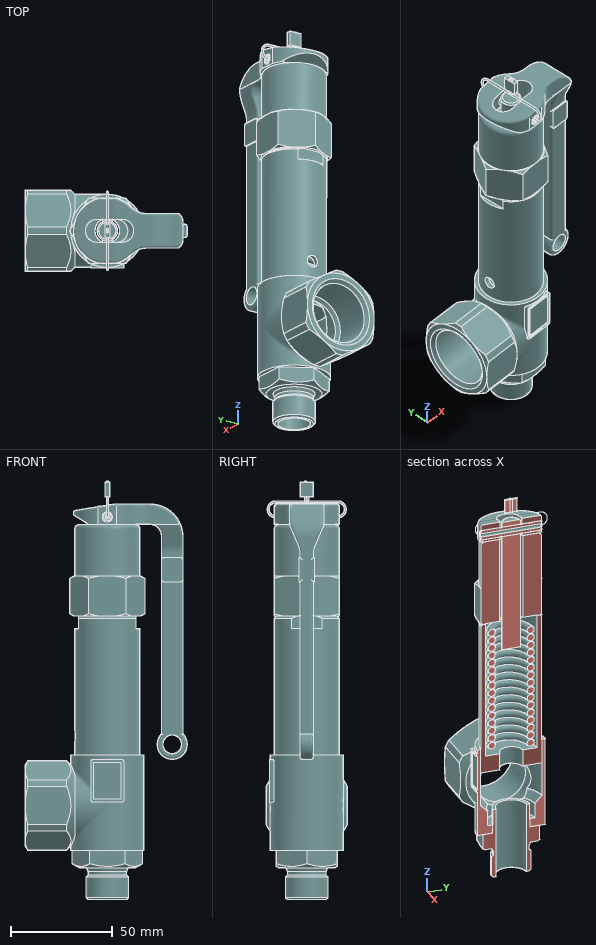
import cadquery as cq
import math


bonnet_dia = 32.0
total_height = 205.7
nozzle_dia = 19.3
stem_dia = 10.0
stem_hole_dia = 12.0
pin_dia = 5.0
wire_dia = 1.0

select_margin = 0.2

body_dia = 36.0
body_bottom = 24.0
body_top = 71.2
chamber_cone_top = 40.3
chamber_cone_bottom = 36.6
chamber_floor = 28.8
chamber_floor_dia = 24.7

outlet_z = 46.3
outlet_end_x = -40.3
outlet_flats = 40.0
outlet_turned_dia = 44.0
outlet_front_chamfer = 1.2
outlet_back_x = -20.0
outlet_thread_dia = 30.5
outlet_mouth_dia = 34.1
outlet_mouth_depth = 1.9
outlet_thread_end_x = -17.9
outlet_bore_dia = 27.0
neck_seam_round = 1.6

plate_width = 16.2
plate_bottom = 48.0
plate_top = 69.0
plate_face_y = -18.3
plate_corner = 1.2
plate_rim = 1.5
plate_recess = 0.5

thread_dia = 21.0
thread_top = 11.1
thread_chamfer = 1.0
relief_dia = 19.0
relief_top = 15.6
relief_taper_height = 1.9
relief_taper_run = 0.8
inlet_flats = 30.0
inlet_hex_chamfer = 2.0
nozzle_top = 37.0
inlet_bore_dia = 16.0

bonnet_bottom = 58.0
bonnet_top = 139.2
bonnet_bore_dia = 27.0
bonnet_floor = 67.0
bonnet_chamfer = 1.0
bonnet_flat_x = 14.2
bonnet_flat_height = 6.2
vent_dia = 6.0
vent_z = 80.5

spring_wire_dia = 4.0
spring_mean_dia = 20.5
spring_pitch = 4.1
spring_turns = 16

cap_hex_top = 159.0
cap_top = 184.3
cap_hex_chamfer = 1.2
cap_round = 2.3

lever_top = 194.4
lever_head_radius = 16.7
lever_head_flat_y = 16.0
lever_slope_start_x = 3.5
lever_tip_top = 191.0
lever_tip_bottom = 189.0
lever_underside_x = -9.3
lever_width = 17.0
neck_round = 10.7
bend_start_x = 21.0
arm_inner_x = 26.5
arm_outer_x = 37.2
arm_thickness = 6.5
edge_round = 1.2
taper_top = cap_top
taper_bottom = 173.8
taper_end = 170.0
ring_radius = 7.5
ring_hole_dia = 9.0
ring_z = 76.3
ring_edge = 1.2
badge_bottom = 156.1
badge_top = 168.0
badge_thickness = 7.8
slot_width = 11.3
slot_left_x = -10.7
slot_right_top_x = 13.0
slot_right_bottom_x = 10.0

stem_bottom = 123.5
stem_top = 193.3
stem_chamfer = 0.8
pin_z = 188.0
pin_hole_dia = 1.9
pin_chamfer = 0.6
wire_run_z = 195.4
wire_reach_y = 19.0
wire_leg_y = 0.6
seal_thickness = 2.5
seal_width = 6.5
seal_bottom = 197.9
seal_top = 205.0


def cylinder(diameter, bottom, top):
    """Cylinder on the valve axis between two heights."""
    return cq.Workplane("XY").workplane(offset=bottom).circle(diameter / 2).extrude(top - bottom)


def cross_cylinder(diameter, length, x, z):
    """Cylinder along Y, centred on Y = 0."""
    return cq.Workplane("XZ", origin=(x, 0, z)).circle(diameter / 2).extrude(length / 2, both=True)


def box_between(x_range, y_range, z_range):
    """Box from its limits along each axis."""
    sizes = [high - low for low, high in (x_range, y_range, z_range)]
    return cq.Workplane("XY").box(*sizes, centered=False).translate(
        (x_range[0], y_range[0], z_range[0]))


def turned(profile):
    """Solid of revolution about Z from (radius, height) points."""
    return cq.Workplane("XZ").polyline(profile).close().revolve(360, (0, 0, 0), (0, 1, 0))


def upright_hex(flats, bottom, top):
    """Hexagonal prism along Z with two flats facing -Y and +Y."""
    corners = flats / math.cos(math.pi / 6)
    return cq.Workplane("XY").workplane(offset=bottom).polygon(6, corners).extrude(top - bottom)


def along_outlet(shape):
    """Turn a shape built along Z so that its +Z points to -X on the outlet axis."""
    return shape.rotate((0, 0, 0), (0, 1, 0), -90).translate((0, 0, outlet_z))


def make_outlet_outside():
    """Hexagon with turned corners, and the round neck that joins it to the body."""
    neck_radius = body_dia / 2
    turned_radius = outlet_turned_dia / 2
    flats_radius = outlet_flats / 2
    end = -outlet_end_x
    back = -outlet_back_x
    neck_end = back - (turned_radius - neck_radius)
    envelope = turned([
        (0, neck_end),
        (neck_radius, neck_end),
        (turned_radius, back),
        (turned_radius, end - outlet_front_chamfer),
        (flats_radius, end),
        (0, end),
    ])
    hexagon = upright_hex(outlet_flats, neck_end, end).intersect(envelope)
    neck = cylinder(body_dia, 0, neck_end)
    return along_outlet(hexagon.union(neck))


def make_outlet_bore():
    """Threaded mouth with a countersink, then a smaller bore into the chamber."""
    end = -outlet_end_x
    thread_end = -outlet_thread_end_x
    step = (outlet_thread_dia - outlet_bore_dia) / 2
    return along_outlet(turned([
        (0, 0),
        (outlet_bore_dia / 2, 0),
        (outlet_bore_dia / 2, thread_end - step),
        (outlet_thread_dia / 2, thread_end),
        (outlet_thread_dia / 2, end - outlet_mouth_depth),
        (outlet_mouth_dia / 2, end),
        (0, end),
    ]))


def make_chamber():
    """Bore for the bonnet, the chamber below it and the hole for the nozzle."""
    return turned([
        (0, body_bottom),
        (nozzle_dia / 2, body_bottom),
        (nozzle_dia / 2, chamber_floor),
        (chamber_floor_dia / 2, chamber_floor),
        (chamber_floor_dia / 2, chamber_cone_bottom),
        (bonnet_dia / 2, chamber_cone_top),
        (bonnet_dia / 2, body_top),
        (0, body_top),
    ])


def make_name_plate():
    """Raised plate with a sunk panel on the -Y side of the body."""
    half_width = plate_width / 2
    plate = box_between((-half_width, half_width), (plate_face_y, 0), (plate_bottom, plate_top))
    plate = plate.edges("|Y").fillet(plate_corner)
    panel = box_between(
        (-half_width + plate_rim, half_width - plate_rim),
        (plate_face_y, plate_face_y + plate_recess),
        (plate_bottom + plate_rim, plate_top - plate_rim),
    )
    return plate, panel


def make_body():
    plate, panel = make_name_plate()
    neck_radius = body_dia / 2
    neck_seams = cq.selectors.BoxSelector(
        (-neck_radius, -body_dia, outlet_z - neck_radius),
        (-select_margin, body_dia, outlet_z + neck_radius),
    )
    body = cylinder(body_dia, body_bottom, body_top)
    body = body.union(make_outlet_outside())
    body = body.edges(neck_seams).edges("%ELLIPSE").fillet(neck_seam_round)
    body = body.union(plate).cut(panel)
    return body.cut(make_chamber()).cut(make_outlet_bore())


def make_inlet():
    """Threaded inlet with a hexagon and a nozzle that stands in the chamber."""
    thread_radius = thread_dia / 2
    relief_radius = relief_dia / 2
    outside = turned([
        (0, 0),
        (thread_radius - thread_chamfer, 0),
        (thread_radius, thread_chamfer),
        (thread_radius, thread_top),
        (relief_radius, thread_top + thread_radius - relief_radius),
        (relief_radius, relief_top - relief_taper_height),
        (relief_radius + relief_taper_run, relief_top),
        (nozzle_dia / 2, relief_top),
        (nozzle_dia / 2, nozzle_top),
        (0, nozzle_top),
    ])
    corner_radius = inlet_flats / 2 / math.cos(math.pi / 6)
    chamfer_run = inlet_hex_chamfer * math.sqrt(3)
    envelope = turned([
        (0, relief_top),
        (corner_radius - chamfer_run, relief_top),
        (corner_radius, relief_top + inlet_hex_chamfer),
        (corner_radius, body_bottom),
        (0, body_bottom),
    ])
    hexagon = upright_hex(inlet_flats, relief_top, body_bottom).intersect(envelope)
    return outside.union(hexagon).cut(cylinder(inlet_bore_dia, 0, nozzle_top))


def make_bonnet():
    """Spring housing with a pair of wrench flats and a vent hole on the -X side."""
    bonnet = cylinder(bonnet_dia, bonnet_bottom, bonnet_top).faces(">Z").edges().chamfer(bonnet_chamfer)
    bonnet = bonnet.cut(cylinder(bonnet_bore_dia, bonnet_floor, bonnet_top))
    bonnet = bonnet.cut(cylinder(stem_hole_dia, bonnet_bottom, bonnet_floor))
    radius = bonnet_dia / 2
    for side in (-1, 1):
        limits = sorted((side * bonnet_flat_x, side * bonnet_dia))
        flat = box_between(limits, (-radius, radius), (bonnet_top - bonnet_flat_height, bonnet_top))
        bonnet = bonnet.cut(flat)
    vent = cq.Workplane("YZ", origin=(0, 0, vent_z)).circle(vent_dia / 2).extrude(-bonnet_dia)
    return bonnet.cut(vent)


def make_spring():
    """Right-hand helical spring standing on the bonnet floor."""
    mean_radius = spring_mean_dia / 2
    start_z = bonnet_floor + spring_wire_dia / 2
    helix = cq.Wire.makeHelix(spring_pitch, spring_pitch * spring_turns, mean_radius)
    section = cq.Workplane("XZ", origin=(mean_radius, 0, 0)).circle(spring_wire_dia / 2)
    return section.sweep(cq.Workplane(helix), isFrenet=True).translate((0, 0, start_z))


def make_cap():
    """Round cap with a hexagon at its foot and a hole for the stem."""
    corner_radius = bonnet_dia / 2 / math.cos(math.pi / 6)
    chamfer_run = cap_hex_chamfer * math.sqrt(3)
    envelope = turned([
        (0, bonnet_top),
        (corner_radius - chamfer_run, bonnet_top),
        (corner_radius, bonnet_top + cap_hex_chamfer),
        (corner_radius, cap_hex_top - cap_hex_chamfer),
        (corner_radius - chamfer_run, cap_hex_top),
        (0, cap_hex_top),
    ])
    hexagon = upright_hex(bonnet_dia, bonnet_top, cap_hex_top).intersect(envelope)
    dome = cylinder(bonnet_dia, cap_hex_top, cap_top).faces(">Z").edges().fillet(cap_round)
    return hexagon.union(dome).cut(cylinder(stem_hole_dia, bonnet_top, cap_top))


def make_lever_side():
    """Side outline of head, bend and arm top, extruded through the full width."""
    outer_radius = arm_outer_x - bend_start_x
    inner_radius = arm_inner_x - bend_start_x
    outer_z = lever_top - outer_radius
    inner_z = cap_top - inner_radius
    diagonal = math.sqrt(0.5)
    outline = (
        cq.Workplane("XZ")
        .moveTo(-lever_head_radius, lever_tip_top)
        .lineTo(lever_slope_start_x, lever_top)
        .lineTo(bend_start_x, lever_top)
        .threePointArc(
            (bend_start_x + outer_radius * diagonal, outer_z + outer_radius * diagonal),
            (arm_outer_x, outer_z),
        )
        .lineTo(arm_outer_x, taper_end)
        .lineTo(arm_inner_x, taper_end)
        .lineTo(arm_inner_x, inner_z)
        .threePointArc(
            (bend_start_x + inner_radius * diagonal, inner_z + inner_radius * diagonal),
            (bend_start_x, cap_top),
        )
        .lineTo(lever_underside_x, cap_top)
        .lineTo(-lever_head_radius, lever_tip_bottom)
        .close()
    )
    return outline.extrude(lever_head_radius, both=True)


def make_lever_plan():
    """Plan outline of the round head and the strip, joined by tangent neck rounds."""
    half_width = lever_width / 2
    round_y = half_width + neck_round
    round_x = math.sqrt((lever_head_radius + neck_round) ** 2 - round_y ** 2)
    share = lever_head_radius / (lever_head_radius + neck_round)
    touch_x, touch_y = round_x * share, round_y * share
    middle_angle = (math.atan2(touch_y - round_y, touch_x - round_x) - math.pi / 2) / 2
    middle_x = round_x + neck_round * math.cos(middle_angle)
    middle_y = round_y + neck_round * math.sin(middle_angle)
    outline = (
        cq.Workplane("XY")
        .moveTo(touch_x, touch_y)
        .threePointArc((middle_x, middle_y), (round_x, half_width))
        .lineTo(arm_outer_x, half_width)
        .lineTo(arm_outer_x, -half_width)
        .lineTo(round_x, -half_width)
        .threePointArc((middle_x, -middle_y), (touch_x, -touch_y))
        .threePointArc((-lever_head_radius, 0), (touch_x, touch_y))
        .close()
    )
    plan = outline.extrude(total_height)
    reach = 2 * lever_head_radius
    flats = box_between((-reach, 2 * reach), (-lever_head_flat_y, lever_head_flat_y), (0, total_height))
    return plan.intersect(flats)


def make_arm_taper():
    """Material removed on both sides of the bend, where the strip narrows to the arm."""
    half_arm = arm_thickness / 2
    half_width = lever_width / 2
    run = half_width - half_arm
    slope = math.atan2(run, (taper_top - taper_bottom) + (taper_bottom - taper_end) / 2)
    round_radius = (taper_bottom - taper_end) / math.sin(slope)
    taper_y = half_arm + round_radius * (1 - math.cos(slope))
    mid_y = half_arm + round_radius * (1 - math.cos(slope / 2))
    mid_z = taper_end + round_radius * math.sin(slope / 2)
    side = (
        cq.Workplane("YZ", origin=(bend_start_x, 0, 0))
        .moveTo(half_arm, taper_end)
        .threePointArc((mid_y, mid_z), (taper_y, taper_bottom))
        .lineTo(half_width, taper_top)
        .lineTo(lever_width, taper_top)
        .lineTo(lever_width, taper_end)
        .close()
        .extrude(lever_width + neck_round)
    )
    return side.union(side.mirror("XZ"))


def make_lever_head():
    """Head, neck and bend with rounded upper edges, narrowing to the arm."""
    head = make_lever_side().intersect(make_lever_plan()).cut(make_arm_taper())
    top_band = cq.selectors.BoxSelector(
        (-total_height, -total_height, lever_tip_top - select_margin),
        (bend_start_x, total_height, total_height),
    )
    arm_band = cq.selectors.BoxSelector(
        (arm_inner_x - select_margin, -lever_width, taper_end),
        (arm_outer_x + select_margin, lever_width, taper_top),
    )
    lengthwise = cq.selectors.ParallelDirSelector(cq.Vector(1, 0, 0))
    return head.edges(top_band + (arm_band - lengthwise)).edges("not |Y").fillet(edge_round)


def make_lever_arm():
    """Straight arm with rounded edges, a badge block and the ring at its end."""
    arm_x = (arm_inner_x + arm_outer_x) / 2
    half_arm = arm_thickness / 2
    half_badge = badge_thickness / 2
    arm = box_between((arm_inner_x, arm_outer_x), (-half_arm, half_arm), (ring_z, taper_end))
    arm = arm.edges("|Z").fillet(edge_round)
    badge = box_between((arm_inner_x, arm_outer_x), (-half_badge, half_badge), (badge_bottom, badge_top))
    badge = badge.edges("|Y").fillet(edge_round)
    ring = cross_cylinder(2 * ring_radius, arm_thickness, arm_x, ring_z).edges().fillet(ring_edge)
    ring_hole = cross_cylinder(ring_hole_dia, arm_thickness, arm_x, ring_z)
    return arm.union(badge).union(ring).cut(ring_hole)


def make_lever_slot():
    """Slot for the stem; its +X end leans outwards towards the top."""
    bottom_length = slot_right_bottom_x - slot_left_x
    top_length = slot_right_top_x - slot_left_x
    bottom_x = (slot_right_bottom_x + slot_left_x) / 2
    top_x = (slot_right_top_x + slot_left_x) / 2
    return (
        cq.Workplane("XY", origin=(bottom_x, 0, cap_top))
        .slot2D(bottom_length, slot_width)
        .workplane(offset=lever_top - cap_top)
        .center(top_x - bottom_x, 0)
        .slot2D(top_length, slot_width)
        .loft(ruled=True)
    )


def make_lever():
    lever = make_lever_head().union(make_lever_arm()).cut(make_lever_slot())
    return lever.cut(cross_cylinder(pin_dia, body_dia, 0, pin_z))


def make_stem():
    stem = cylinder(stem_dia, stem_bottom, stem_top).faces(">Z").edges().chamfer(stem_chamfer)
    return stem.cut(cross_cylinder(pin_dia, body_dia, 0, pin_z))


def make_pin():
    """Hollow pin that ties the stem to the lever."""
    pin = cross_cylinder(pin_dia, 2 * lever_head_flat_y, 0, pin_z).edges().chamfer(pin_chamfer)
    return pin.cut(cross_cylinder(pin_hole_dia, body_dia, 0, pin_z))


def make_wire_leg(y, top):
    leg = cq.Workplane("XY", origin=(0, y, wire_run_z)).circle(wire_dia / 2)
    return leg.extrude(top - wire_run_z)


def make_wire():
    """Closed loop through the pin and over the lever, with two legs up into the seal."""
    loop_radius = (wire_run_z - pin_z) / 2
    middle_z = (wire_run_z + pin_z) / 2
    outer_y = wire_reach_y
    straight_y = outer_y - loop_radius
    path = (
        cq.Workplane("YZ")
        .moveTo(0, pin_z)
        .lineTo(straight_y, pin_z)
        .threePointArc((outer_y, middle_z), (straight_y, wire_run_z))
        .lineTo(-straight_y, wire_run_z)
        .threePointArc((-outer_y, middle_z), (-straight_y, pin_z))
        .close()
    )
    loop = cq.Workplane("XZ", origin=(0, 0, pin_z)).circle(wire_dia / 2).sweep(path)
    return loop.union(make_wire_leg(wire_leg_y, seal_top)).union(make_wire_leg(-wire_leg_y, total_height))


def make_seal():
    """Flat lead seal clamped on the two wire legs."""
    half_thickness = seal_thickness / 2
    half_width = seal_width / 2
    seal = box_between(
        (-half_thickness, half_thickness), (-half_width, half_width), (seal_bottom, seal_top))
    for side in (-1, 1):
        seal = seal.cut(make_wire_leg(side * wire_leg_y, total_height))
    return seal


body = make_body()
inlet = make_inlet()
bonnet = make_bonnet()
spring = make_spring()
cap = make_cap()
lever = make_lever()
stem = make_stem()
pin = make_pin()
wire = make_wire()
seal = make_seal()

bodies = [body, inlet, bonnet, spring, cap, lever, stem, pin, wire, seal]
result = cq.Compound.makeCompound([part.solids().val() for part in bodies])